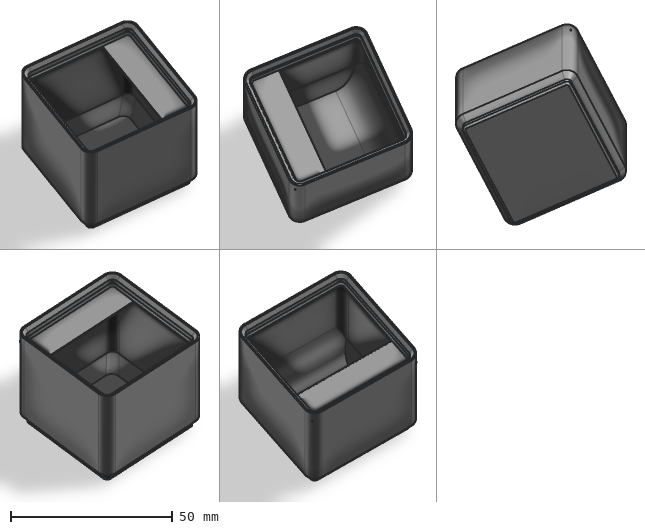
import cadquery as cq

width = 41.5
height = 38.8
corner_radius = 3.75
cut_overlap = 0.4

foot_chamfer = 0.8
foot_straight = 1.8
foot_flare = 2.15
foot_height = foot_chamfer + foot_straight + foot_flare

rim_flat = 0.6
lip_flare = 1.3
lip_straight = 1.8
lip_step = 0.7
lip_edge = 0.5
lip_overhang = rim_flat + lip_flare + lip_step
lip_base = height - lip_flare - lip_straight - lip_step

wall = 0.95
cavity_radius = corner_radius - wall
slope = 4.05
slope_top = 5.5
floor_level = slope_top - slope

scoop_radius = 10.35
shelf_front = 8.65
shelf_thickness = lip_edge


def rounded_prism(inset, bottom, depth, radius):
    """Upright prism inset from the outer sides, with rounded corners."""
    side = width - 2 * inset
    prism = cq.Workplane("XY").box(side, side, depth, centered=(True, True, False))
    return prism.edges("|Z").fillet(radius).translate((0, 0, bottom))


def concentric_prism(inset, bottom, depth):
    """Inset prism whose corners share the axes of the outer corners."""
    return rounded_prism(inset, bottom, depth, corner_radius - inset)


def rounded_square(inset, radius, level):
    """Outline of a rounded square at the given height."""
    side = width - 2 * inset
    outline = cq.Sketch().rect(side, side).vertices().fillet(radius)
    return outline.moved(cq.Location(cq.Vector(0, 0, level)))


def frustum(lower_inset, lower_radius, upper_inset, upper_radius, bottom, rise):
    """Rounded square blending from a lower outline to an upper one."""
    lower = rounded_square(lower_inset, lower_radius, bottom)
    upper = rounded_square(upper_inset, upper_radius, bottom + rise)
    return cq.Workplane("XY").placeSketch(lower, upper).loft(ruled=True)


def concentric_flare(inset, bottom, rise):
    """45 degree flare whose corners stay on the outer corner axes."""
    upper_inset = inset - rise
    return frustum(inset, corner_radius - inset, upper_inset, corner_radius - upper_inset, bottom, rise)


def make_outer_block():
    foot = concentric_flare(foot_flare + foot_chamfer, 0, foot_chamfer)
    neck = concentric_prism(foot_flare, foot_chamfer, foot_straight)
    flare = concentric_flare(foot_flare, foot_chamfer + foot_straight, foot_flare)
    body = concentric_prism(0, foot_height, height - foot_height)
    return body.union(flare).union(neck).union(foot)


def make_lip_opening():
    throat = concentric_prism(lip_overhang, lip_base - lip_edge - cut_overlap, lip_edge + cut_overlap)
    step = concentric_flare(lip_overhang, lip_base, lip_step)
    straight = concentric_prism(rim_flat + lip_flare, lip_base + lip_step, lip_straight)
    mouth = concentric_flare(rim_flat + lip_flare, height - lip_flare, lip_flare)
    return throat.union(step).union(straight).union(mouth)


def make_cavity():
    upper = rounded_prism(wall, slope_top, lip_base - lip_edge - slope_top, cavity_radius)
    lower = frustum(wall + slope, cavity_radius, wall, cavity_radius, floor_level, slope)
    return upper.union(lower)


def make_scoop():
    """Concave fillet between the front wall and the floor."""
    front = -width / 2 + wall
    length = width - 2 * wall
    corner = cq.Workplane("XY").box(length, scoop_radius, scoop_radius, centered=(True, False, False))
    corner = corner.translate((0, front, floor_level))
    roller = (
        cq.Workplane("YZ")
        .center(front + scoop_radius, floor_level + scoop_radius)
        .circle(scoop_radius)
        .extrude(length, both=True)
    )
    return corner.cut(roller)


def make_shelf():
    length = width - 2 * wall
    depth = width / 2 - wall - shelf_front
    shelf = cq.Workplane("XY").box(length, depth, shelf_thickness, centered=(True, False, False))
    return shelf.translate((0, shelf_front, lip_base - shelf_thickness))


cavity = make_cavity()
scoop = make_scoop().intersect(cavity)
bin_shell = make_outer_block().cut(cavity).cut(make_lip_opening())
result = bin_shell.union(scoop).union(make_shelf())